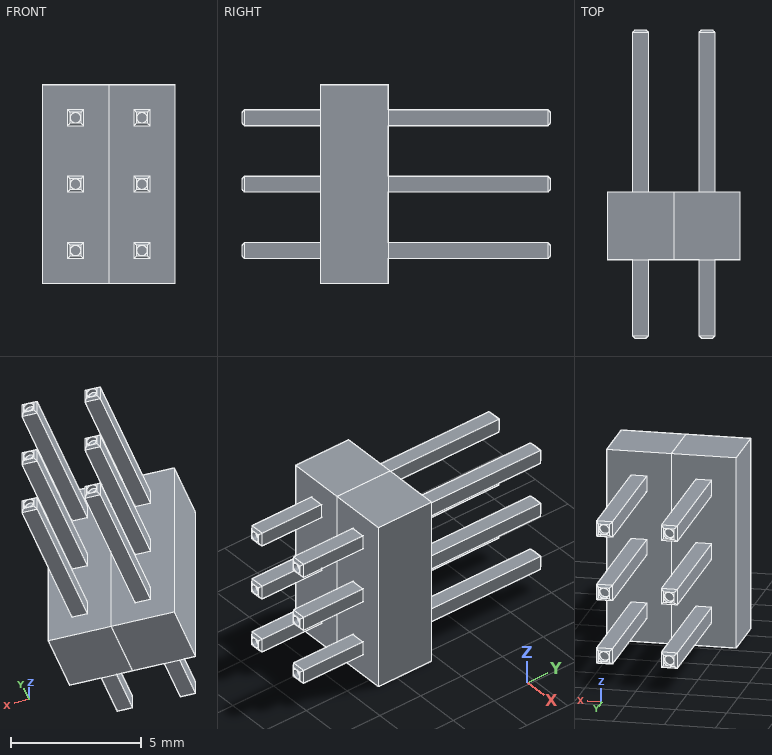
import cadquery as cq

pitch = 2.54
columns = 2
rows = 3

housing_depth = 2.6
front_pin_reach = 3.0
pin_length = 11.8

pin_width = 0.62
pin_chamfer = 0.1
dimple_diameter = 0.4
dimple_depth = 0.2

column_positions = [(column - (columns - 1) / 2) * pitch for column in range(columns)]
row_positions = [(row - (rows - 1) / 2) * pitch for row in range(rows)]

pin_front = -front_pin_reach
pin_back = pin_front + pin_length


def box_along_y(width, length, x, y_start, z):
    """Square bar centred on (x, z), running from y_start towards +Y."""
    return cq.Workplane("XY").box(width, length, width).translate((x, y_start + length / 2, z))


def cylinder_along_y(diameter, length, x, y_start, z):
    """Round bar centred on (x, z), running from y_start towards +Y."""
    start = cq.Vector(x, y_start, z)
    return cq.Workplane(cq.Solid.makeCylinder(diameter / 2, length, start, cq.Vector(0, 1, 0)))


def make_housing(x):
    """One column of square cells fused into a strip, with a square hole for each pin."""
    housing = box_along_y(pitch, housing_depth, x, 0, row_positions[0])
    for z in row_positions[1:]:
        housing = housing.union(box_along_y(pitch, housing_depth, x, 0, z), clean=False)
    for z in row_positions:
        pin_hole = box_along_y(pin_width, housing_depth, x, 0, z)
        housing = housing.cut(pin_hole, clean=False)
    return housing


def make_pin(x, z):
    """Square pin passing through the housing cell at (x, z)."""
    pin = box_along_y(pin_width, pin_length, x, pin_front, z)
    pin = pin.faces("<Y or >Y").chamfer(pin_chamfer)
    for dimple_start in (pin_front, pin_back - dimple_depth):
        pin = pin.cut(cylinder_along_y(dimple_diameter, dimple_depth, x, dimple_start, z))
    return pin


housings = [make_housing(x) for x in column_positions]
pins = [make_pin(x, z) for x in column_positions for z in row_positions]

result = cq.Compound.makeCompound([body.solids().val() for body in housings + pins])